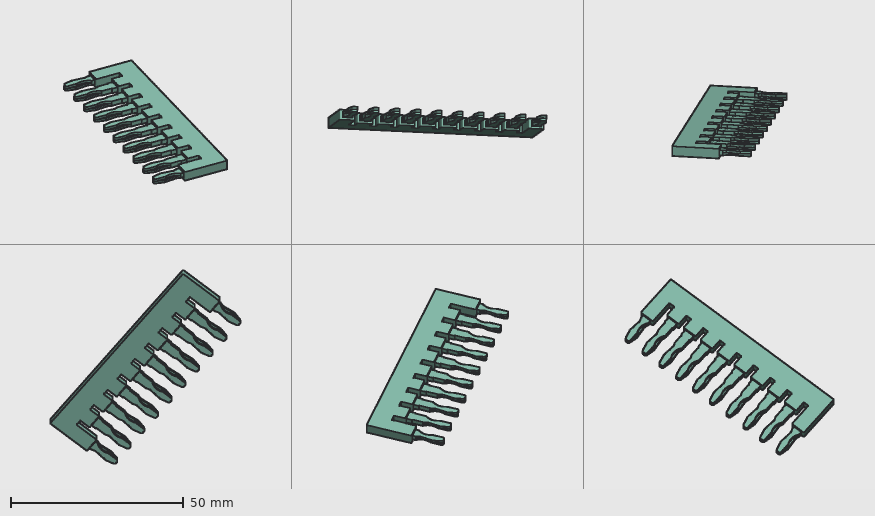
import cadquery as cq

length = 61.2
depth = 23.0
thickness = 3.0
prong_count = 10

spine_depth = 6.25
tooth_width = 4.5
inner_tooth_reach = 9.75
outer_tooth_reach = 13.85
corner_radius = 0.25
pitch = (length - tooth_width) / (prong_count - 1)
inner_shift = 0.09

sheet_thickness = 0.8
root_half_width = 1.6
root_reach = 11.5
prong_width = 2.75
prong_half_width = prong_width / 2
split_reach = 14.8

neck_width = 2.0
neck_half_width = neck_width / 2
neck_start = 15.85
neck_end = 16.2
belly_reach = 20.0

relief_half_width = 0.4
relief_reach = 17.25
relief_end = 19.35

tip_half_width = 0.85
tip_end_half_width = 0.7
tip_radius = 0.6


def block(center_x, width, start, end, height):
    """Box centred on Z that runs toward -Y from start to end."""
    return cq.Workplane("XY").box(width, end - start, height).translate((center_x, -(start + end) / 2, 0))


def make_body(centers):
    """Spine with one tooth per prong; the two end teeth are longer."""
    body = block(0, length, 0, spine_depth, thickness).edges("|Z and >Y").fillet(corner_radius)
    for x in centers:
        is_outer = x in (centers[0], centers[-1])
        reach = outer_tooth_reach if is_outer else inner_tooth_reach
        tooth = block(x, tooth_width, spine_depth / 2, reach, thickness)
        body = body.union(tooth.edges("|Z and <Y").fillet(corner_radius))
    return body


def make_upper_sheet():
    """Upper half of a prong: wavy on the -X side, deeply relieved on the +X side."""
    outline = (
        cq.Workplane("XY")
        .moveTo(-prong_half_width, -spine_depth)
        .lineTo(-prong_half_width, -split_reach)
        .lineTo(-neck_half_width, -neck_start)
        .lineTo(-neck_half_width, -neck_end)
        .lineTo(-prong_half_width, -belly_reach)
        .lineTo(-tip_end_half_width, -depth)
        .lineTo(tip_half_width, -depth)
        .lineTo(tip_half_width, -relief_end)
        .threePointArc((relief_half_width, -relief_reach), (prong_half_width, -split_reach))
        .lineTo(prong_half_width, -spine_depth)
        .close()
    )
    return outline.extrude(sheet_thickness).edges("|Z and <Y").fillet(tip_radius)


def make_prong():
    """Two mirrored sheets with a slightly wider root, centred on X = 0."""
    upper_sheet = make_upper_sheet()
    lower_sheet = upper_sheet.rotate((0, 0, 0), (0, 1, 0), 180)
    root = block(0, 2 * root_half_width, spine_depth, root_reach, 2 * sheet_thickness)
    return upper_sheet.union(lower_sheet).union(root)


end_center = (length - tooth_width) / 2
inner_centers = [i * pitch - end_center + inner_shift for i in range(1, prong_count - 1)]
tooth_centers = [-end_center, *inner_centers, end_center]
result = make_body(tooth_centers)
prong = make_prong()
for tooth_x in tooth_centers:
    result = result.union(prong.translate((tooth_x, 0, 0)))